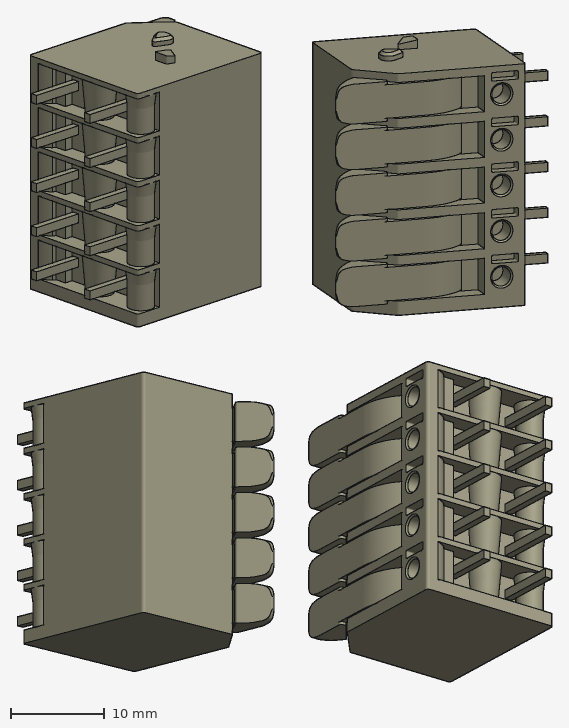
import cadquery as cq

WIDTH = 16.7
DEPTH = 18.4
TOTAL_DEPTH = 25.3
TOTAL_HEIGHT = 27.4
WEDGE_HIGH_HEIGHT = 0.93
HOUSING_HEIGHT = TOTAL_HEIGHT - WEDGE_HIGH_HEIGHT
CORNER_RADIUS = 0.35
BEVEL_X = 3.42
BEVEL_Y = 4.08
BEVEL_EDGE_RADIUS = 0.4

CELL_COUNT = 5
STACK_SPAN = 20.0
PITCH = STACK_SPAN / (CELL_COUNT - 1)
FIRST_FLOOR = 1.48

CAVITY_HEIGHT = 4.38
CAVITY_LEFT = 1.4
LEFT_CAVITY_DEPTH = 2.2
RIGHT_CAVITY_DEPTH = 3.2
BLOCK_RIGHT = 4.33
BLOCK_FRONT = 1.18
BLOCK_STEP_X = 2.93
BOW_START = (CAVITY_LEFT, 0.05)
BOW_MIDDLE = (2.08, 0.33)
BOW_END = (2.75, 0.8)

TAPER_POST_X = 8.88
TAPER_POST_Y = 1.92
TAPER_POST_TOP_RADIUS = 1.92
TAPER_POST_BOTTOM_RADIUS = 1.53
SIDE_POST_X = 15.05
SIDE_POST_Y = 2.03
SIDE_POST_RADIUS = 1.48
SIDE_POST_HEAD_RADIUS = 1.67
SIDE_POST_HEAD_HEIGHT = 1.48

PIN_WIDTH = 0.82
PIN_HEIGHT = 1.01
PIN_LENGTH = 4.0
PIN_CENTER_Z = 2.33
PIN_CENTERS_X = (4.9, 13.1)
PIN_EMBED = 0.55

WIRE_DIAMETER = 2.1
WIRE_CHAMFER = 0.2
WIRE_DEPTH = 2.75
WIRE_Y = 2.7
WIRE_Z = 1.85
SLOT_START_Y = 0.85
SLOT_LENGTH = 3.0
SLOT_BOTTOM_Z = 3.37
SLOT_HEIGHT = 0.93
SLOT_DEPTH = 1.37
SLOT_CORNER_RADIUS = 0.15

LEVER_CENTER_Z = 2.05
POCKET_START_Y = 4.63
POCKET_DEPTH = 2.25
POCKET_HEIGHT = 3.95
POCKET_CLEARANCE = 0.15
SHANK_HEIGHT = POCKET_HEIGHT - 2 * POCKET_CLEARANCE
SHANK_FLAT_START_Y = 11.35
SHANK_CURVE_RADIUS = 6.45
SHANK_TOE_Y = 6.75
SHANK_END_Y = 6.5
SHANK_TOP_Y = 17.45
HANDLE_HEIGHT = 4.35
HANDLE_START_Y = 15.45
HANDLE_END_Y = TOTAL_DEPTH - PIN_LENGTH
HANDLE_HEEL_X = 0.68
HANDLE_BACK = (2.9, 18.39)
HANDLE_TIP_X = 0.33
HANDLE_HEEL_RADIUS = 0.38
HANDLE_BACK_RADIUS = 0.22
HANDLE_TIP_RADIUS = 0.25
HANDLE_FACE_RADIUS = 0.1
CROWN_START_Y = 19.37
CROWN_ARC_Y = 19.92
CROWN_ARC_HALF = 2.1
CROWN_BEND_Y = 20.47
CROWN_BEND_HALF = 1.97
CROWN_CORNER_Y = 20.88
CROWN_CORNER_HALF = 1.73
CROWN_SHOULDER_Y = 21.1
CROWN_SHOULDER_HALF = 1.37
CROWN_TIP_HALF = 0.65

DROP_CORNERS = ((4.9, 14.05), (8.45, 14.05), (7.25, 11.07))
DROP_SIDE_RADIUS = 0.85
DROP_TIP_RADIUS = 0.35
DROP_HEIGHT = 0.85
DROP_CHAMFER = 0.33
WEDGE_CORNERS = ((10.33, 8.6), (10.33, 10.93), (12.5, 9.55), (12.17, 8.6))
WEDGE_CORNER_RADIUS = 0.16
WEDGE_LOW_HEIGHT = 0.58


def box(x_range, y_range, z_range):
    """Box between two limits along each axis."""
    size = [high - low for low, high in (x_range, y_range, z_range)]
    corner = (x_range[0], y_range[0], z_range[0])
    return cq.Workplane("XY").box(*size, centered=False).translate(corner)


def centered_range(center, size):
    return (center - size / 2, center + size / 2)


def edges_at(solid, point, reach=0.03):
    """Vertical edges of a solid that stand on an (x, y) point."""
    x, y = point
    low_corner = (x - reach, y - reach, -TOTAL_HEIGHT)
    high_corner = (x + reach, y + reach, TOTAL_HEIGHT)
    selector = cq.selectors.BoxSelector(low_corner, high_corner)
    return solid.edges("|Z").edges(selector)


def make_housing():
    outline = [(0, 0), (WIDTH, 0), (WIDTH, DEPTH), (BEVEL_X, DEPTH), (0, DEPTH - BEVEL_Y)]
    housing = cq.Workplane("XY").polyline(outline).close().extrude(HOUSING_HEIGHT)
    for corner in outline[:3]:
        housing = edges_at(housing, corner).fillet(CORNER_RADIUS)
    for corner in outline[3:]:
        housing = edges_at(housing, corner).fillet(BEVEL_EDGE_RADIUS)
    return housing


def make_cavity(floor):
    """Open space of one cell, around the bowed block at its left end."""
    return (
        cq.Workplane("XY", origin=(0, 0, floor))
        .moveTo(CAVITY_LEFT, 0)
        .lineTo(*BOW_START)
        .threePointArc(BOW_MIDDLE, BOW_END)
        .lineTo(BLOCK_STEP_X, BLOCK_FRONT)
        .lineTo(BLOCK_RIGHT, BLOCK_FRONT)
        .lineTo(BLOCK_RIGHT, LEFT_CAVITY_DEPTH)
        .lineTo(TAPER_POST_X, LEFT_CAVITY_DEPTH)
        .lineTo(TAPER_POST_X, RIGHT_CAVITY_DEPTH)
        .lineTo(WIDTH, RIGHT_CAVITY_DEPTH)
        .lineTo(WIDTH, 0)
        .close()
        .extrude(CAVITY_HEIGHT)
    )


def make_posts(floor):
    """Tapered middle post and straight side post with a flared head."""
    roof = floor + CAVITY_HEIGHT
    taper_post = (
        cq.Workplane("XY", origin=(TAPER_POST_X, TAPER_POST_Y, floor))
        .circle(TAPER_POST_BOTTOM_RADIUS)
        .workplane(offset=CAVITY_HEIGHT)
        .circle(TAPER_POST_TOP_RADIUS)
        .loft()
    )
    side_post = (
        cq.Workplane("XY", origin=(SIDE_POST_X, SIDE_POST_Y, floor))
        .circle(SIDE_POST_RADIUS)
        .extrude(CAVITY_HEIGHT)
    )
    head = (
        cq.Workplane("XY", origin=(SIDE_POST_X, SIDE_POST_Y, roof - SIDE_POST_HEAD_HEIGHT))
        .circle(SIDE_POST_RADIUS)
        .workplane(offset=SIDE_POST_HEAD_HEIGHT)
        .circle(SIDE_POST_HEAD_RADIUS)
        .loft()
    )
    head = head.intersect(box((0, WIDTH), (0, DEPTH), (floor, roof)))
    return taper_post.union(side_post).union(head)


def make_pins(floor):
    pins = cq.Workplane("XY")
    for x in PIN_CENTERS_X:
        pin = box(
            centered_range(x, PIN_WIDTH),
            (-PIN_LENGTH, RIGHT_CAVITY_DEPTH + PIN_EMBED),
            centered_range(floor + PIN_CENTER_Z, PIN_HEIGHT),
        )
        pins = pins.union(pin)
    return pins


def make_wire_entry(floor):
    """Blind round hole with a chamfered mouth, entering from the left face."""
    radius = WIRE_DIAMETER / 2
    entry_plane = cq.Workplane("YZ", origin=(0, WIRE_Y, floor + WIRE_Z))
    hole = entry_plane.circle(radius).extrude(WIRE_DEPTH)
    mouth = (
        entry_plane.circle(radius + WIRE_CHAMFER)
        .workplane(offset=WIRE_CHAMFER)
        .circle(radius)
        .loft()
    )
    return hole.union(mouth)


def make_label_slot(floor):
    bottom = floor + SLOT_BOTTOM_Z
    slot = box((0, SLOT_DEPTH), (SLOT_START_Y, SLOT_START_Y + SLOT_LENGTH), (bottom, bottom + SLOT_HEIGHT))
    return slot.edges("|X").fillet(SLOT_CORNER_RADIUS)


def make_lever_pocket(floor):
    return box(
        (0, POCKET_DEPTH),
        (POCKET_START_Y, DEPTH),
        centered_range(floor + LEVER_CENTER_Z, POCKET_HEIGHT),
    )


def shank_curve_x(y):
    """Distance of the concave shank face from the left face at a given Y."""
    drop = SHANK_FLAT_START_Y - y
    return SHANK_CURVE_RADIUS - (SHANK_CURVE_RADIUS**2 - drop**2) ** 0.5


def make_lever_shank(center_z):
    """Narrow lower part of the lever, seated on the pocket floor."""
    curve_middle_y = (SHANK_FLAT_START_Y + SHANK_TOE_Y) / 2
    return (
        cq.Workplane("XY", origin=(0, 0, center_z))
        .moveTo(0, SHANK_TOP_Y)
        .lineTo(0, SHANK_FLAT_START_Y)
        .threePointArc(
            (shank_curve_x(curve_middle_y), curve_middle_y),
            (shank_curve_x(SHANK_TOE_Y), SHANK_TOE_Y),
        )
        .lineTo(POCKET_DEPTH, SHANK_END_Y)
        .lineTo(POCKET_DEPTH, SHANK_TOP_Y)
        .close()
        .extrude(SHANK_HEIGHT / 2, both=True)
    )


def make_lever_handle(center_z):
    """Wide finger end of the lever with a rounded crown."""
    tip = (HANDLE_TIP_X, HANDLE_END_Y)
    profile = [
        (0, HANDLE_START_Y),
        (HANDLE_HEEL_X, HANDLE_START_Y),
        HANDLE_BACK,
        tip,
        (0, HANDLE_END_Y),
    ]
    handle = (
        cq.Workplane("XY", origin=(0, 0, center_z))
        .polyline(profile)
        .close()
        .extrude(HANDLE_HEIGHT / 2, both=True)
    )
    rounded_corners = (
        (profile[0], HANDLE_HEEL_RADIUS),
        (HANDLE_BACK, HANDLE_BACK_RADIUS),
        (tip, HANDLE_TIP_RADIUS),
        (profile[4], HANDLE_FACE_RADIUS),
    )
    for corner, radius in rounded_corners:
        handle = edges_at(handle, corner).fillet(radius)

    half = HANDLE_HEIGHT / 2
    side_outline = (
        cq.Workplane("YZ", origin=(0, 0, center_z))
        .moveTo(HANDLE_START_Y, -half)
        .lineTo(CROWN_START_Y, -half)
        .threePointArc((CROWN_ARC_Y, -CROWN_ARC_HALF), (CROWN_BEND_Y, -CROWN_BEND_HALF))
        .threePointArc((CROWN_CORNER_Y, -CROWN_CORNER_HALF), (CROWN_SHOULDER_Y, -CROWN_SHOULDER_HALF))
        .lineTo(HANDLE_END_Y, -CROWN_TIP_HALF)
        .lineTo(HANDLE_END_Y, CROWN_TIP_HALF)
        .lineTo(CROWN_SHOULDER_Y, CROWN_SHOULDER_HALF)
        .threePointArc((CROWN_CORNER_Y, CROWN_CORNER_HALF), (CROWN_BEND_Y, CROWN_BEND_HALF))
        .threePointArc((CROWN_ARC_Y, CROWN_ARC_HALF), (CROWN_START_Y, half))
        .lineTo(HANDLE_START_Y, half)
        .close()
    )
    return handle.intersect(side_outline.extrude(WIDTH))


def make_drop_boss():
    """Drop-shaped coding boss with a chamfered rim."""
    boss = (
        cq.Workplane("XY", origin=(0, 0, HOUSING_HEIGHT))
        .polyline(DROP_CORNERS)
        .close()
        .extrude(DROP_HEIGHT)
    )
    for corner in DROP_CORNERS[:2]:
        boss = edges_at(boss, corner).fillet(DROP_SIDE_RADIUS)
    boss = edges_at(boss, DROP_CORNERS[2]).fillet(DROP_TIP_RADIUS)
    return boss.faces(">Z").chamfer(DROP_CHAMFER)


def make_wedge_boss():
    """Four-sided coding boss whose top slopes down toward the back."""
    boss = (
        cq.Workplane("XY", origin=(0, 0, HOUSING_HEIGHT))
        .polyline(WEDGE_CORNERS)
        .close()
        .extrude(WEDGE_HIGH_HEIGHT)
        .edges("|Z")
        .fillet(WEDGE_CORNER_RADIUS)
    )
    front_y = WEDGE_CORNERS[0][1]
    back_y = WEDGE_CORNERS[1][1]
    slope = (
        cq.Workplane("YZ", origin=(0, 0, HOUSING_HEIGHT))
        .polyline([(front_y, 0), (back_y, 0), (back_y, WEDGE_LOW_HEIGHT), (front_y, WEDGE_HIGH_HEIGHT)])
        .close()
        .extrude(WIDTH)
    )
    return boss.intersect(slope)


result = make_housing()
for index in range(CELL_COUNT):
    cell_floor = FIRST_FLOOR + index * PITCH
    lever_z = cell_floor + LEVER_CENTER_Z
    result = result.cut(make_cavity(cell_floor))
    result = result.cut(make_wire_entry(cell_floor))
    result = result.cut(make_label_slot(cell_floor))
    result = result.cut(make_lever_pocket(cell_floor))
    result = result.union(make_posts(cell_floor))
    result = result.union(make_pins(cell_floor))
    result = result.union(make_lever_shank(lever_z))
    result = result.union(make_lever_handle(lever_z))
result = result.union(make_drop_boss()).union(make_wedge_boss())